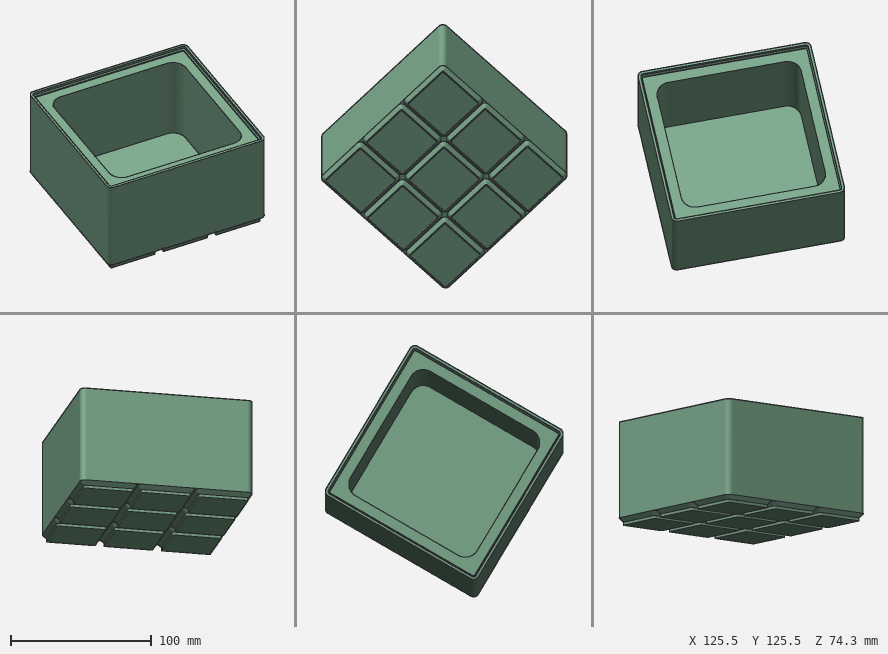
import cadquery as cq

side = 125.5
height = 74.3
corner_radius = 4.0

feet_per_side = 3
foot_gap = 0.5
foot_corner_radius = 3.8
foot_taper = 3.0
foot_straight_height = 2.1
foot_side = (side - (feet_per_side - 1) * foot_gap) / feet_per_side
foot_pitch = foot_side + foot_gap
foot_height = foot_straight_height + foot_taper

rim_width = 2.0
rim_straight_depth = 1.8
rim_taper = 1.0
rim_step_depth = 0.8
recess_depth = rim_straight_depth + rim_taper + rim_step_depth
ledge_height = height - recess_depth

cavity_side = 104.4
cavity_radius = 10.0
cavity_depth = 63.3


def rounded_square(width, radius):
    """Square outline with rounded corners."""
    return cq.Sketch().rect(width, width).vertices().fillet(radius)


def rounded_block(width, radius, bottom, top):
    """Square block centred on Z with rounded upright edges."""
    base = cq.Workplane("XY").workplane(offset=bottom)
    return base.placeSketch(rounded_square(width, radius)).extrude(top - bottom)


def tapered_block(top_width, top_radius, taper, bottom):
    """Rounded block widening upward at 45 degrees; its height equals the taper."""
    lower = rounded_square(top_width - 2 * taper, top_radius - taper)
    upper = rounded_square(top_width, top_radius).moved(cq.Location(cq.Vector(0, 0, taper)))
    return cq.Workplane("XY").workplane(offset=bottom).placeSketch(lower, upper).loft()


def foot():
    """Pad with a straight lower part that widens at 45 degrees up to the box."""
    straight_side = foot_side - 2 * foot_taper
    straight = rounded_block(straight_side, foot_corner_radius - foot_taper, 0, foot_straight_height)
    return straight.union(tapered_block(foot_side, foot_corner_radius, foot_taper, foot_straight_height))


def stacking_recess():
    """Recess under the rim: straight wall, 45 degree taper, then a short step to the ledge."""
    opening_side = side - 2 * rim_width
    ledge_side = opening_side - 2 * rim_taper
    opening_radius = corner_radius - rim_width
    taper_bottom = ledge_height + rim_step_depth
    taper_top = taper_bottom + rim_taper
    opening = rounded_block(opening_side, opening_radius, taper_top, height)
    tapered = tapered_block(opening_side, opening_radius, rim_taper, taper_bottom)
    step = rounded_block(ledge_side, opening_radius - rim_taper, ledge_height, taper_bottom)
    return opening.union(tapered).union(step)


body = rounded_block(side, corner_radius, foot_height, height)
feet = cq.Workplane("XY").rarray(foot_pitch, foot_pitch, feet_per_side, feet_per_side)
feet = feet.eachpoint(lambda place: foot().val().moved(place))
cavity = rounded_block(cavity_side, cavity_radius, ledge_height - cavity_depth, ledge_height)

result = body.union(feet).cut(stacking_recess()).cut(cavity)